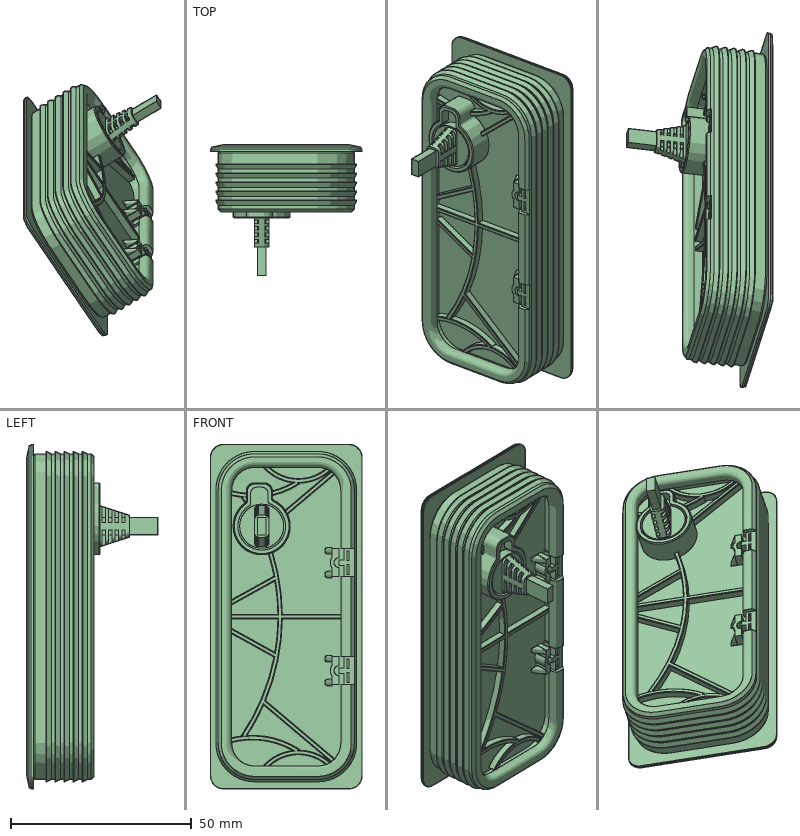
import cadquery as cq
import math


OVERALL_DEPTH = 36.3

MARGIN = 0.1

FLANGE_WIDTH = 42.0
FLANGE_HEIGHT = 95.4
FLANGE_CORNER = 3.6
FLANGE_EDGE = 0.6
COVER_INSET = 0.25
COVER_EDGE = 0.55
COVER_CROWN = 0.7
COVER_SLOPE_WIDTH = 3.3
FLANGE_THICKNESS = FLANGE_EDGE + COVER_EDGE + COVER_CROWN

BODY_WIDTH = 37.7
BODY_HEIGHT = 90.2
BODY_DEPTH = 16.85
BODY_CORNER = 10.1
BODY_ROOT_CHAMFER = 0.5
BODY_FRONT_CHAMFER = 0.85
LIP_COUNT = 5
LIP_START = 3.45
LIP_PITCH = 2.51
LIP_LENGTH = 1.5
LIP_LAND = 0.2
LIP_REACH = 0.65

WALL = 2.35
FLOOR = -11.45
MOUTH_LIP = 1.4

RIB_WIDTH = 1.25
RIB_HEIGHT = 2.1
RIB_EDGE_CHAMFER = 0.2
SPINE_X = -1.7
SPINE_RADIUS = 59.5
SPINE_END_Z = 33.3
SPINE_HALF_ANGLE = math.degrees(math.asin(SPINE_END_Z / SPINE_RADIUS))
SIDE_RIB = ((-16.0, 3.5), (-3.0, 10.7))
CORNER_RIB = ((-6.3, 23.6), (13.5, 40.3))
WIDE_ARC_CENTRE = (-9.4, 56.8)
WIDE_ARC_RADIUS = 23.3
WIDE_ARC_ANGLES = (-107.0, -57.0)
TIGHT_ARC_CENTRE = (3.4, 50.1)
TIGHT_ARC_RADIUS = 12.5
TIGHT_ARC_ANGLES = (-141.0, -46.0)

BOSS_X = -6.8
BOSS_Z = 25.05
BOSS_RADIUS = 7.9
BOSS_FRONT = -18.5
BOSS_BORE_RADIUS = 6.6
BOSS_EDGE_CHAMFER = 0.3
POCKET_DEPTH = 2.8
PLUG_RADIUS = 6.1
PLUG_RECESS = 0.2
PLUG_FRONT = BOSS_FRONT + PLUG_RECESS
TAB_X = -7.45
TAB_TOP = 37.05
TAB_WIDTH = 7.25
TAB_CORNER = 2.3
TAB_WALL = 1.2
TAB_NECK_FILLET = 0.8

RELIEF_WIDTH = 4.1
RELIEF_ROOT_HALF = 5.67
RELIEF_TIP_HALF = 3.06
RELIEF_TIP = -26.55
RELIEF_SLOT_COUNT = 4
RELIEF_SLOT_START = 0.5
RELIEF_SLOT_PITCH = 1.83
RELIEF_SLOT_WIDTH = 0.95
RELIEF_EDGE_FILLET = 1.3
RELIEF_WEB_WIDTH = 1.8
RELIEF_SPINE_HALF = 1.0
CABLE_WIDTH = 2.4
CABLE_HEIGHT = 4.86
CABLE_TIP = FLANGE_THICKNESS - OVERALL_DEPTH

HINGE_OFFSET = 14.96
HINGE_HEIGHT = 7.8
PAD_INNER_X = 15.95
PAD_FRONT = -15.75
PAD_SLOT_X = 17.1
PAD_SLOT_WIDTH = 0.65
PAD_SLOT_HEIGHT = 2.65
PAD_SLOT_OFFSET = 1.9
PAD_SLOT_DEPTH = 1.5
TONGUE_HEIGHT = 1.5
CLIP_LEFT_X = 12.7
CLIP_RIGHT_X = 14.6
CLIP_FRONT = -15.2
KNUCKLE_X = 14.6
KNUCKLE_BORE = 1.35
KNUCKLE_RADIUS = 2.4
GUSSET_FOOT_X = 10.7
GUSSET_WIDTH = 1.85
GUSSET_OFFSET = 3.3
GUSSET_FILLET = 0.6


def plane_at(y):
    """Sketch plane facing -Y: local x is X, local y is Z."""
    return cq.Workplane("XZ", origin=(0, y, 0))


def block(x_range, y_range, z_range):
    """Axis-aligned box from three (low, high) pairs."""
    ranges = (x_range, y_range, z_range)
    size = [high - low for low, high in ranges]
    centre = [(high + low) / 2 for low, high in ranges]
    return cq.Workplane("XY").box(*size).translate(tuple(centre))


def outline_slab(offset, y_back, y_front):
    """Slab with the body outline grown by offset."""
    slab = plane_at(y_back).rect(BODY_WIDTH + 2 * offset, BODY_HEIGHT + 2 * offset)
    return slab.extrude(y_back - y_front).edges("|Y").fillet(BODY_CORNER + offset)


def rounded_outline(y, width, height, corner):
    sketch = cq.Sketch().rect(width, height).vertices().fillet(corner)
    return plane_at(y).placeSketch(sketch)


def make_flange():
    """Thin base plate carrying a slightly smaller cover with a sloped border."""
    base = rounded_outline(FLANGE_EDGE, FLANGE_WIDTH, FLANGE_HEIGHT, FLANGE_CORNER).extrude(FLANGE_EDGE)
    width = FLANGE_WIDTH - 2 * COVER_INSET
    height = FLANGE_HEIGHT - 2 * COVER_INSET
    corner = FLANGE_CORNER - COVER_INSET
    cover_top = FLANGE_EDGE + COVER_EDGE
    cover = rounded_outline(cover_top, width, height, corner).extrude(COVER_EDGE)
    slope = math.degrees(math.atan(COVER_SLOPE_WIDTH / COVER_CROWN))
    crown = rounded_outline(cover_top, width, height, corner).extrude(-COVER_CROWN, taper=slope)
    return base.union(cover).union(crown)


def make_sealing_lip(y):
    """Saw-tooth lip: square face towards the flange, ramp towards the front."""
    width = BODY_WIDTH + 2 * LIP_REACH
    height = BODY_HEIGHT + 2 * LIP_REACH
    corner = BODY_CORNER + LIP_REACH
    ramp = math.degrees(math.atan(LIP_REACH / (LIP_LENGTH - LIP_LAND)))
    land = rounded_outline(y, width, height, corner).extrude(LIP_LAND)
    tooth = rounded_outline(y - LIP_LAND, width, height, corner).extrude(LIP_LENGTH - LIP_LAND, taper=ramp)
    return land.union(tooth)


def make_body():
    body = outline_slab(0, 0, -BODY_DEPTH)
    body = body.faces(">Y").edges().chamfer(BODY_ROOT_CHAMFER)
    body = body.faces("<Y").edges().chamfer(BODY_FRONT_CHAMFER)
    for index in range(LIP_COUNT):
        body = body.union(make_sealing_lip(-LIP_START - index * LIP_PITCH))
    return body.cut(outline_slab(-WALL, FLOOR, -BODY_DEPTH))


def make_mouth_lip():
    """Lip swept around the cavity mouth, with a rounded front edge."""
    root_x = BODY_WIDTH / 2 - WALL
    root_z = BODY_HEIGHT / 2 - WALL
    corner = BODY_CORNER - WALL
    fillet_y = MOUTH_LIP - BODY_DEPTH
    anchor_x = root_x + WALL / 2
    path = (
        plane_at(fillet_y)
        .moveTo(root_x, 0)
        .lineTo(root_x, root_z - corner)
        .tangentArcPoint((-corner, corner))
        .lineTo(corner - root_x, root_z)
        .tangentArcPoint((-corner, -corner))
        .lineTo(-root_x, corner - root_z)
        .tangentArcPoint((corner, -corner))
        .lineTo(root_x - corner, -root_z)
        .tangentArcPoint((corner, corner))
        .close()
    )
    section = (
        cq.Workplane("XY")
        .moveTo(anchor_x, -BODY_DEPTH)
        .lineTo(root_x, -BODY_DEPTH)
        .radiusArc((root_x - MOUTH_LIP, fillet_y), MOUTH_LIP)
        .lineTo(root_x - MOUTH_LIP, fillet_y + MOUTH_LIP)
        .lineTo(anchor_x, fillet_y + MOUTH_LIP)
        .close()
    )
    return section.sweep(path)


def straight_rib(start, end):
    run = end[0] - start[0]
    rise = end[1] - start[1]
    middle = ((start[0] + end[0]) / 2, (start[1] + end[1]) / 2)
    turn = math.degrees(math.atan2(rise, run))
    sketch = cq.Sketch().rect(math.hypot(run, rise), RIB_WIDTH)
    plane = plane_at(FLOOR).center(*middle).transformed(rotate=(0, 0, turn))
    return plane.placeSketch(sketch).extrude(RIB_HEIGHT)


def arc_rib(centre, radius, angles):
    def point(r, angle):
        turn = math.radians(angle)
        return (centre[0] + r * math.cos(turn), centre[1] + r * math.sin(turn))

    start, end = angles
    middle = (start + end) / 2
    inner = radius - RIB_WIDTH / 2
    outer = radius + RIB_WIDTH / 2
    profile = (
        plane_at(FLOOR)
        .moveTo(*point(inner, start))
        .threePointArc(point(inner, middle), point(inner, end))
        .lineTo(*point(outer, end))
        .threePointArc(point(outer, middle), point(outer, start))
        .close()
    )
    return profile.extrude(RIB_HEIGHT)


def make_ribs():
    """Cross rib and spine, plus the ribs of the upper half mirrored below."""
    half_span = BODY_WIDTH / 2 - WALL / 2
    cross = straight_rib((-half_span, 0), (half_span, 0))
    spine = arc_rib((SPINE_X - SPINE_RADIUS, 0), SPINE_RADIUS, (-SPINE_HALF_ANGLE, SPINE_HALF_ANGLE))
    upper = straight_rib(*SIDE_RIB)
    upper = upper.union(straight_rib(*CORNER_RIB))
    upper = upper.union(arc_rib(WIDE_ARC_CENTRE, WIDE_ARC_RADIUS, WIDE_ARC_ANGLES))
    upper = upper.union(arc_rib(TIGHT_ARC_CENTRE, TIGHT_ARC_RADIUS, TIGHT_ARC_ANGLES))
    network = cross.union(spine).union(upper).union(upper.mirror("XY")).clean()
    return network.faces("<Y").edges().chamfer(RIB_EDGE_CHAMFER)


def keyhole(radius, tab_inset, y_back, y_front):
    """Round disc joined to a tab with rounded top corners."""
    depth = y_back - y_front
    half_width = TAB_WIDTH / 2 - tab_inset
    tab = block(
        (TAB_X - half_width, TAB_X + half_width),
        (y_front, y_back),
        (BOSS_Z, TAB_TOP - tab_inset),
    )
    tab = tab.faces(">Z").edges("|Y").fillet(TAB_CORNER - tab_inset / 2)
    solid = plane_at(y_back).center(BOSS_X, BOSS_Z).circle(radius).extrude(depth).union(tab)
    neck = cq.selectors.BoxSelector(
        (TAB_X - TAB_WIDTH, y_front - MARGIN, BOSS_Z + radius / 2),
        (TAB_X + TAB_WIDTH, y_back + MARGIN, BOSS_Z + radius),
    )
    return solid.edges("|Y").edges(neck).fillet(TAB_NECK_FILLET)


def make_boss():
    pocket_floor = BOSS_FRONT + POCKET_DEPTH
    boss = keyhole(BOSS_RADIUS, 0, FLOOR, BOSS_FRONT)
    boss = boss.faces("<Y").edges().chamfer(BOSS_EDGE_CHAMFER)
    boss = boss.cut(keyhole(BOSS_BORE_RADIUS, TAB_WALL, pocket_floor, BOSS_FRONT))
    plug = plane_at(pocket_floor).center(BOSS_X, BOSS_Z).circle(PLUG_RADIUS)
    return boss.union(plug.extrude(pocket_floor - PLUG_FRONT))


def cut_relief_slot(relief, y_range):
    """Cut the four side windows: down to the cable, then down to a thin web beyond it."""
    steps = (
        (CABLE_WIDTH / 2, RELIEF_SPINE_HALF),
        (RELIEF_WEB_WIDTH / 2, CABLE_HEIGHT / 2),
    )
    for inner_x, inner_z in steps:
        for x_side in (-1, 1):
            x_range = sorted((BOSS_X + x_side * inner_x, BOSS_X + x_side * RELIEF_WIDTH))
            for z_side in (-1, 1):
                z_range = sorted((BOSS_Z + z_side * inner_z, BOSS_Z + z_side * BOSS_RADIUS))
                relief = relief.cut(block(x_range, y_range, z_range))
    return relief


def make_strain_relief():
    profile = [
        (PLUG_FRONT, BOSS_Z - RELIEF_ROOT_HALF),
        (PLUG_FRONT, BOSS_Z + RELIEF_ROOT_HALF),
        (BOSS_FRONT, BOSS_Z + RELIEF_ROOT_HALF),
        (RELIEF_TIP, BOSS_Z + RELIEF_TIP_HALF),
        (RELIEF_TIP, BOSS_Z - RELIEF_TIP_HALF),
        (BOSS_FRONT, BOSS_Z - RELIEF_ROOT_HALF),
    ]
    relief = cq.Workplane("YZ", origin=(BOSS_X, 0, 0)).polyline(profile).close()
    relief = relief.extrude(RELIEF_WIDTH / 2, both=True)
    side_edges = cq.selectors.BoxSelector(
        (BOSS_X - RELIEF_WIDTH, RELIEF_TIP + MARGIN, BOSS_Z - BOSS_RADIUS),
        (BOSS_X + RELIEF_WIDTH, BOSS_FRONT - MARGIN, BOSS_Z + BOSS_RADIUS),
    )
    relief = relief.edges(side_edges).fillet(RELIEF_EDGE_FILLET)
    for index in range(RELIEF_SLOT_COUNT):
        y_back = BOSS_FRONT - RELIEF_SLOT_START - index * RELIEF_SLOT_PITCH
        relief = cut_relief_slot(relief, (y_back - RELIEF_SLOT_WIDTH, y_back))
    cable = block(
        (BOSS_X - CABLE_WIDTH / 2, BOSS_X + CABLE_WIDTH / 2),
        (CABLE_TIP, RELIEF_TIP),
        (BOSS_Z - CABLE_HEIGHT / 2, BOSS_Z + CABLE_HEIGHT / 2),
    )
    return relief.union(cable)


def hinge_span(z):
    return (z - HINGE_HEIGHT / 2, z + HINGE_HEIGHT / 2)


def cut_hinge_notch(body, z):
    """Open the lip and the rim where a hinge sits."""
    mouth_x = BODY_WIDTH / 2 - WALL - MOUTH_LIP
    body = body.cut(block((mouth_x, PAD_INNER_X), (-BODY_DEPTH, FLOOR), hinge_span(z)))
    return body.cut(block((mouth_x, BODY_WIDTH / 2), (-BODY_DEPTH, PAD_FRONT), hinge_span(z)))


def make_hinge(z):
    pad = block((PAD_INNER_X, BODY_WIDTH / 2 - WALL / 2), (PAD_FRONT, FLOOR), hinge_span(z))
    tongue_z = (z - TONGUE_HEIGHT / 2, z + TONGUE_HEIGHT / 2)
    tongue = block((CLIP_RIGHT_X, PAD_INNER_X), (PAD_FRONT, FLOOR), tongue_z)
    clip = block((CLIP_LEFT_X, CLIP_RIGHT_X), (CLIP_FRONT, FLOOR), hinge_span(z))
    height = FLOOR - CLIP_FRONT
    knuckle = plane_at(FLOOR).center(KNUCKLE_X, z).circle(KNUCKLE_RADIUS).extrude(height)
    knuckle = knuckle.intersect(block((GUSSET_FOOT_X, CLIP_RIGHT_X), (CLIP_FRONT, FLOOR), hinge_span(z)))
    bore = plane_at(FLOOR).center(KNUCKLE_X, z).circle(KNUCKLE_BORE).extrude(height)
    hinge = clip.union(knuckle).cut(bore).union(pad).union(tongue)
    for side in (-1, 1):
        gusset = (
            cq.Workplane("XY", origin=(0, 0, z + side * GUSSET_OFFSET))
            .polyline([(GUSSET_FOOT_X, FLOOR), (CLIP_LEFT_X, FLOOR), (CLIP_LEFT_X, CLIP_FRONT)])
            .close()
            .extrude(GUSSET_WIDTH / 2, both=True)
            .faces("<X").edges("not |Z")
            .fillet(GUSSET_FILLET)
        )
        hinge = hinge.union(gusset)
    return hinge


def cut_pad_slots(body, z):
    x_range = (PAD_SLOT_X - PAD_SLOT_WIDTH / 2, PAD_SLOT_X + PAD_SLOT_WIDTH / 2)
    for side in (-1, 1):
        centre = z + side * PAD_SLOT_OFFSET
        z_range = (centre - PAD_SLOT_HEIGHT / 2, centre + PAD_SLOT_HEIGHT / 2)
        body = body.cut(block(x_range, (PAD_FRONT, PAD_FRONT + PAD_SLOT_DEPTH), z_range))
    return body


result = make_body().union(make_mouth_lip()).union(make_flange()).union(make_ribs())
boss_column = keyhole(BOSS_RADIUS, 0, FLOOR, BOSS_FRONT)
result = result.cut(boss_column).union(make_boss()).union(make_strain_relief())
for hinge_z in (-HINGE_OFFSET, HINGE_OFFSET):
    result = cut_hinge_notch(result, hinge_z)
    result = result.union(make_hinge(hinge_z))
    result = cut_pad_slots(result, hinge_z)